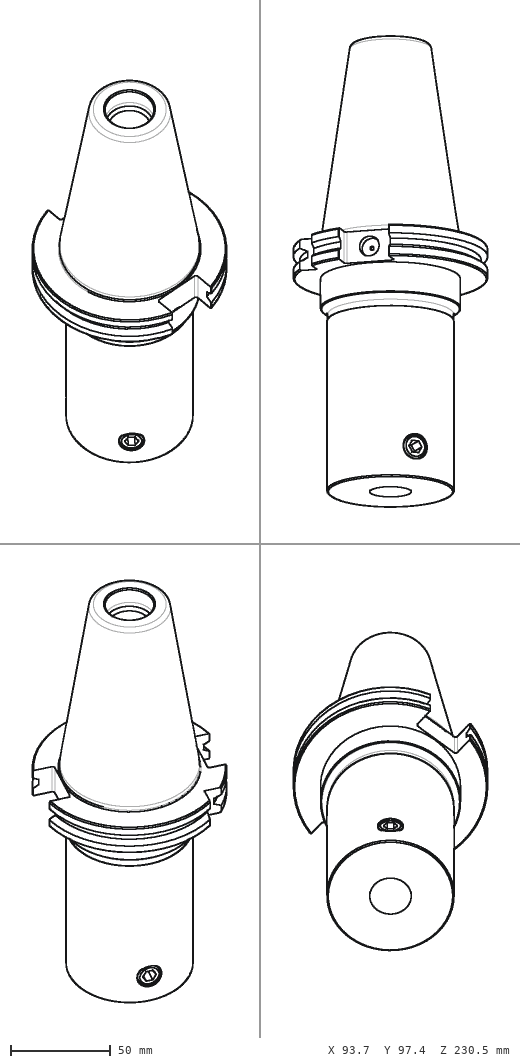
import cadquery as cq
import math

total_height = 230.5
gauge_z = 129.0
flange_top_z = 126.0
flange_bottom_z = 109.8
collar_bottom_z = 94.3
neck_top_z = 91.5
neck_bottom_z = 88.0
groove_z = 117.8
screw_z = 16.1

gauge_radius = 35.0
taper_per_height = 7 / 48
flange_radius = 48.7
flange_chamfer = 0.7
gauge_fillet = 0.7
collar_chamfer = 0.5
neck_radius = 31.5
nose_radius = 31.8
nose_chamfer = 0.7
top_fillet = 2.3

groove_floor_radius = 45.5
groove_floor_width = 3.2
groove_half_angle = math.radians(30)

bore_radius = 10.4
counterbore_radius = 12.2
counterbore_depth = 8.5
counterbore_chamfer = 0.7
lead_in_radius = 11.8
lead_in_depth = 10.8
bore_start_depth = 12.7

slot_width = 25.8
slot_floor_left = 37.1
slot_floor_right = 35.5
slot_corner_radius = 1.2
slot_edge_chamfer = 0.5
notch_x = 29.5
notch_y = 29.7
chip_hole_radius = 5.0
chip_hole_depth = 4.5
pilot_hole_radius = 1.0
pilot_hole_depth = 1.2

screw_angles = (90, 220, 320)
screw_radius = 6.0
screw_chamfer = 1.0
screw_recess = 0.5
screw_length = 16.1
screw_mouth_chamfer = 0.5
screw_mouth_depth = 1.0
socket_across_flats = 6.0
socket_depth = 9.2
socket_turn = 30


def make_turned_body():
    """Taper, grooved flange, collar and nose as one revolved outline."""
    top_radius = gauge_radius - (total_height - gauge_z) * taper_per_height
    groove_depth = flange_radius - groove_floor_radius
    half_floor = groove_floor_width / 2
    half_mouth = half_floor + groove_depth * math.tan(groove_half_angle)
    rim_radius = flange_radius - flange_chamfer
    neck_arc_height = collar_bottom_z - neck_top_z
    neck_arc_end = neck_radius + neck_arc_height
    half_diagonal = neck_arc_height * math.sqrt(0.5)
    neck_arc_middle = (neck_arc_end - half_diagonal, neck_top_z + half_diagonal)
    gauge_arc_inset = gauge_fillet * (1 - math.sqrt(0.5))
    body = (
        cq.Workplane("XZ")
        .lineTo(nose_radius - nose_chamfer, 0)
        .lineTo(nose_radius, nose_chamfer)
        .lineTo(nose_radius, neck_bottom_z)
        .lineTo(neck_radius, neck_bottom_z)
        .lineTo(neck_radius, neck_top_z)
        .threePointArc(neck_arc_middle, (neck_arc_end, collar_bottom_z))
        .lineTo(gauge_radius - collar_chamfer, collar_bottom_z)
        .lineTo(gauge_radius, collar_bottom_z + collar_chamfer)
        .lineTo(gauge_radius, flange_bottom_z)
        .lineTo(rim_radius, flange_bottom_z)
        .lineTo(flange_radius, flange_bottom_z + flange_chamfer)
        .lineTo(flange_radius, groove_z - half_mouth)
        .lineTo(groove_floor_radius, groove_z - half_floor)
        .lineTo(groove_floor_radius, groove_z + half_floor)
        .lineTo(flange_radius, groove_z + half_mouth)
        .lineTo(flange_radius, flange_top_z - flange_chamfer)
        .lineTo(rim_radius, flange_top_z)
        .lineTo(gauge_radius + gauge_fillet, flange_top_z)
        .threePointArc(
            (gauge_radius + gauge_arc_inset, flange_top_z + gauge_arc_inset),
            (gauge_radius, flange_top_z + gauge_fillet),
        )
        .lineTo(gauge_radius, gauge_z)
        .lineTo(top_radius, total_height)
        .lineTo(0, total_height)
        .close()
        .revolve(360, (0, 0, 0), (0, 1, 0))
    )
    return body.faces(">Z").edges().fillet(top_fillet)


def make_bore():
    """Through bore with a chamfered counterbore and two conical steps at the small end of the taper."""
    outline = [
        (0, 0),
        (bore_radius, 0),
        (bore_radius, total_height - bore_start_depth),
        (lead_in_radius, total_height - lead_in_depth),
        (counterbore_radius, total_height - counterbore_depth),
        (counterbore_radius, total_height - counterbore_chamfer),
        (counterbore_radius + counterbore_chamfer, total_height),
        (0, total_height),
    ]
    return cq.Workplane("XZ").polyline(outline).close().revolve(360, (0, 0, 0), (0, 1, 0))


def make_drive_slot(floor_distance, side):
    """Slot through the flange height with chamfered mouth edges; side is -1 for -X and +1 for +X."""
    half_width = slot_width / 2
    slot_height = flange_top_z + gauge_fillet - flange_bottom_z
    rim_x = math.sqrt(flange_radius**2 - half_width**2)
    chamfer_start = rim_x - slot_edge_chamfer
    outer_x = flange_radius + slot_edge_chamfer
    outer_half_width = half_width + outer_x - chamfer_start
    outline = [
        (floor_distance, -half_width),
        (chamfer_start, -half_width),
        (outer_x, -outer_half_width),
        (outer_x, outer_half_width),
        (chamfer_start, half_width),
        (floor_distance, half_width),
    ]
    slot = (
        cq.Workplane("XY", origin=(0, 0, flange_bottom_z))
        .polyline(outline)
        .close()
        .extrude(slot_height)
        .edges("|Z and <X")
        .fillet(slot_corner_radius)
    )
    if side < 0:
        slot = slot.rotate((0, 0, 0), (0, 0, 1), 180)
    return slot


def make_notch():
    """Corner cut through the flange at -X, +Y."""
    height = flange_top_z - flange_bottom_z
    return (
        cq.Workplane("XY")
        .box(flange_radius, flange_radius, height, centered=False)
        .translate((-notch_x - flange_radius, notch_y, flange_bottom_z))
    )


def make_chip_hole():
    """Blind round hole in the floor of the -X slot, with a small pilot hole in its own floor."""
    return (
        cq.Workplane("YZ", origin=(-slot_floor_left, 0, groove_z))
        .circle(chip_hole_radius)
        .extrude(chip_hole_depth)
        .faces(">X")
        .workplane()
        .circle(pilot_hole_radius)
        .extrude(pilot_hole_depth)
    )


def place_at_screw(shape, angle):
    """Move a shape built along +X to the screw height and turn it about the Z axis."""
    return shape.translate((0, 0, screw_z)).rotate((0, 0, 0), (0, 0, 1), angle)


def make_screw_hole(angle):
    """Radial hole that fits one screw, with a chamfered mouth."""
    hole_floor_x = nose_radius - screw_recess - screw_length
    mouth_radius = screw_radius + screw_mouth_chamfer
    mouth_x = nose_radius - screw_mouth_depth
    outline = [
        (hole_floor_x, 0),
        (hole_floor_x, screw_radius),
        (mouth_x - screw_mouth_chamfer, screw_radius),
        (mouth_x, mouth_radius),
        (nose_radius, mouth_radius),
        (nose_radius, 0),
    ]
    hole = cq.Workplane("XZ").polyline(outline).close().revolve(360, (0, 0, 0), (1, 0, 0))
    return place_at_screw(hole, angle)


def make_screw(angle):
    """Set screw with a chamfered head end and a hexagon socket."""
    head_x = nose_radius - screw_recess
    screw = (
        cq.Workplane("YZ", origin=(head_x - screw_length, 0, 0))
        .circle(screw_radius)
        .extrude(screw_length)
        .faces(">X")
        .chamfer(screw_chamfer)
    )
    socket = (
        cq.Workplane("YZ", origin=(head_x - socket_depth, 0, 0))
        .polygon(6, socket_across_flats, circumscribed=True)
        .extrude(socket_depth)
        .rotate((0, 0, 0), (1, 0, 0), socket_turn)
    )
    return place_at_screw(screw.cut(socket), angle)


holder = make_turned_body().cut(make_bore())
holder = holder.cut(make_drive_slot(slot_floor_left, -1))
holder = holder.cut(make_drive_slot(slot_floor_right, 1))
holder = holder.cut(make_notch()).cut(make_chip_hole())
for screw_angle in screw_angles:
    holder = holder.cut(make_screw_hole(screw_angle))

screws = [make_screw(screw_angle) for screw_angle in screw_angles]

result = cq.Compound.makeCompound([holder.val(), *[screw.val() for screw in screws]])